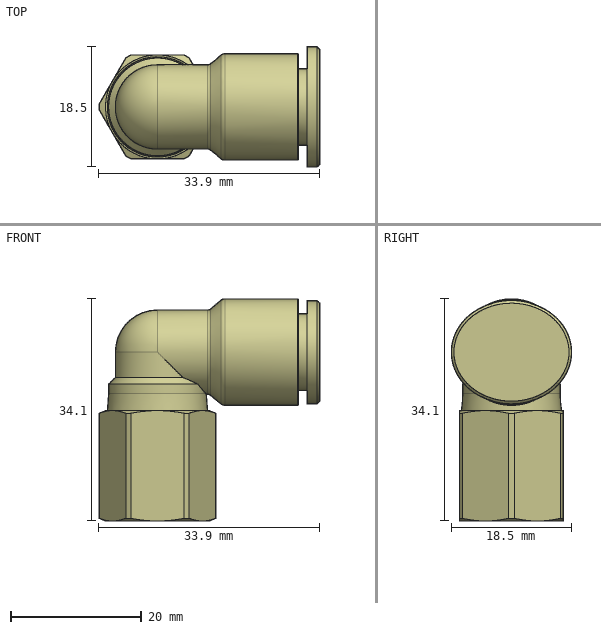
import cadquery as cq
import math

pipe_radius = 6.5
axis_height = 25.95

hex_across_flats = 15.98
hex_corner_radius = 8.98
hex_height = 16.97
hex_end_radius = hex_across_flats / 2
hex_chamfer_height = 0.4

shoulder_radius = 7.5
shoulder_base_radius = 7.72
shoulder_taper_top = 19.6
shoulder_top = 22.05
shoulder_chamfer = shoulder_radius - pipe_radius

socket_radius = 8.2
step_start = 7.7
cone_angle = math.radians(40)
inner_blend = 0.8
outer_blend = 1.0
socket_end = 21.7
socket_edge_chamfer = 0.15

stem_radius = 5.9
flange_start = 23.02
flange_end = 24.95
flange_width = 18.5
flange_height = 15.88
flange_chamfer = 0.4


def make_hexagon():
    """Hexagon with corners on the X axis, turned down to chamfered, rounded corners."""
    across_corners = hex_across_flats / math.cos(math.pi / 6)
    hexagon = cq.Workplane("XY").polygon(6, across_corners).extrude(hex_height)
    blank = (
        cq.Workplane("XZ")
        .moveTo(0, 0)
        .lineTo(hex_end_radius, 0)
        .lineTo(hex_corner_radius, hex_chamfer_height)
        .lineTo(hex_corner_radius, hex_height - hex_chamfer_height)
        .lineTo(hex_end_radius, hex_height)
        .lineTo(0, hex_height)
        .close()
        .revolve(360, (0, 0, 0), (0, 1, 0))
    )
    return hexagon.intersect(blank)


def make_vertical_body():
    """Tapered shoulder and vertical pipe, up to the horizontal axis."""
    return (
        cq.Workplane("XZ")
        .moveTo(0, hex_height)
        .lineTo(shoulder_base_radius, hex_height)
        .lineTo(shoulder_radius, shoulder_taper_top)
        .lineTo(shoulder_radius, shoulder_top - shoulder_chamfer)
        .lineTo(pipe_radius, shoulder_top)
        .lineTo(pipe_radius, axis_height)
        .lineTo(0, axis_height)
        .close()
        .revolve(360, (0, 0, 0), (0, 1, 0))
    )


def make_horizontal_body():
    """Horizontal pipe, cone, socket and button stem as one turned profile."""
    blend_rise = 1 - math.cos(cone_angle)
    blend_run = math.sin(cone_angle)
    cone_start = step_start + inner_blend * blend_run
    cone_start_radius = pipe_radius + inner_blend * blend_rise
    cone_end_radius = socket_radius - outer_blend * blend_rise
    cone_end = cone_start + (cone_end_radius - cone_start_radius) / math.tan(cone_angle)
    socket_start = cone_end + outer_blend * blend_run

    return (
        cq.Workplane("XZ", origin=(0, 0, axis_height))
        .moveTo(0, 0)
        .lineTo(0, pipe_radius)
        .lineTo(step_start, pipe_radius)
        .tangentArcPoint((cone_start, cone_start_radius), relative=False)
        .lineTo(cone_end, cone_end_radius)
        .tangentArcPoint((socket_start, socket_radius), relative=False)
        .lineTo(socket_end - socket_edge_chamfer, socket_radius)
        .lineTo(socket_end, socket_radius - socket_edge_chamfer)
        .lineTo(socket_end, stem_radius)
        .lineTo(flange_start, stem_radius)
        .lineTo(flange_start, 0)
        .close()
        .revolve(360, (0, 0, 0), (1, 0, 0))
    )


def make_flange():
    """Oval flange, wider along Y than along Z, chamfered on its outer face."""
    return (
        cq.Workplane("YZ", origin=(flange_start, 0, axis_height))
        .ellipse(flange_width / 2, flange_height / 2)
        .extrude(flange_end - flange_start)
        .faces(">X")
        .chamfer(flange_chamfer)
    )


corner_ball = cq.Workplane("XY", origin=(0, 0, axis_height)).sphere(pipe_radius)

result = (
    make_vertical_body()
    .union(make_horizontal_body())
    .union(corner_ball)
    .union(make_hexagon())
    .union(make_flange())
)